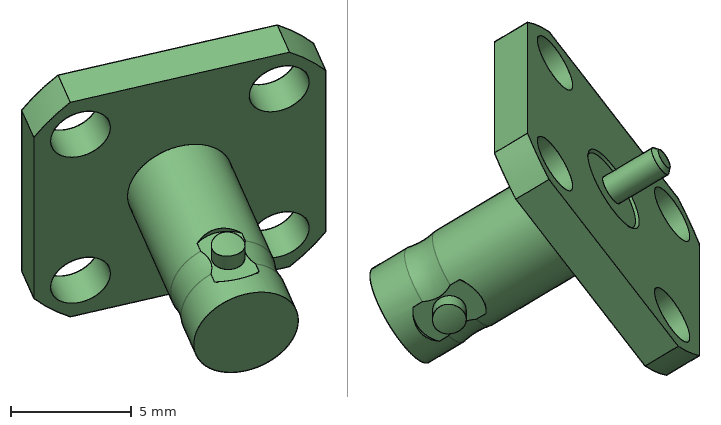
import cadquery as cq

total_length = 13.19
pin_length = 2.53
flange_thickness = 1.66
barrel_end = total_length - pin_length

flange_side = 12.7
flange_corner_diameter = 15.88
mount_hole_diameter = 2.6
mount_hole_pitch = 8.64

recess_diameter = 3.79
recess_floor_diameter = 3.56
recess_depth = (recess_diameter - recess_floor_diameter) / 2

pin_diameter = 1.29
pin_chamfer = 0.2

barrel_radius = 2.275
lug_diameter = 1.4
lug_reach = 2.86
lug_x = barrel_end - 2.44
seat_diameter = 3.03
seat_height = 2.06
waist_depth = 0.08


def x_cylinder(radius, start, end):
    """Solid cylinder on the X axis between two X positions."""
    return cq.Workplane("YZ").workplane(offset=start).circle(radius).extrude(end - start)


def make_flange():
    plate = cq.Workplane("YZ").rect(flange_side, flange_side).extrude(flange_thickness)
    plate = plate.intersect(x_cylinder(flange_corner_diameter / 2, 0, flange_thickness))
    holes = (
        cq.Workplane("YZ")
        .rect(mount_hole_pitch, mount_hole_pitch, forConstruction=True)
        .vertices()
        .circle(mount_hole_diameter / 2)
        .extrude(flange_thickness)
    )
    recess = (
        cq.Workplane("YZ")
        .circle(recess_diameter / 2)
        .workplane(offset=recess_depth)
        .circle(recess_floor_diameter / 2)
        .loft()
    )
    return plate.cut(holes).cut(recess)


def make_pin():
    pin = x_cylinder(pin_diameter / 2, -pin_length, flange_thickness)
    return pin.faces("<X").chamfer(pin_chamfer)


def make_barrel():
    """Barrel with a shallow concave waist as wide as the lugs."""
    waist_start = lug_x - lug_diameter / 2
    waist_end = lug_x + lug_diameter / 2
    return (
        cq.Workplane("XY")
        .moveTo(flange_thickness, 0)
        .lineTo(flange_thickness, barrel_radius)
        .lineTo(waist_start, barrel_radius)
        .threePointArc((lug_x, barrel_radius - waist_depth), (waist_end, barrel_radius))
        .lineTo(barrel_end, barrel_radius)
        .lineTo(barrel_end, 0)
        .close()
        .revolve(360, (0, 0, 0), (1, 0, 0))
    )


def cut_lug_seats(barrel):
    """Flat round seats at the top and bottom of the barrel."""
    for direction in (1, -1):
        seat = (
            cq.Workplane("XY", origin=(lug_x, 0, direction * seat_height))
            .circle(seat_diameter / 2)
            .extrude(direction * barrel_radius)
        )
        barrel = barrel.cut(seat)
    return barrel


def make_lugs():
    """Cross pin whose two ends are curved about the connector axis."""
    cross_pin = (
        cq.Workplane("XY", origin=(lug_x, 0, 0))
        .circle(lug_diameter / 2)
        .extrude(lug_reach, both=True)
    )
    return cross_pin.intersect(x_cylinder(lug_reach, flange_thickness, barrel_end))


result = make_flange().union(make_pin()).union(cut_lug_seats(make_barrel())).union(make_lugs())